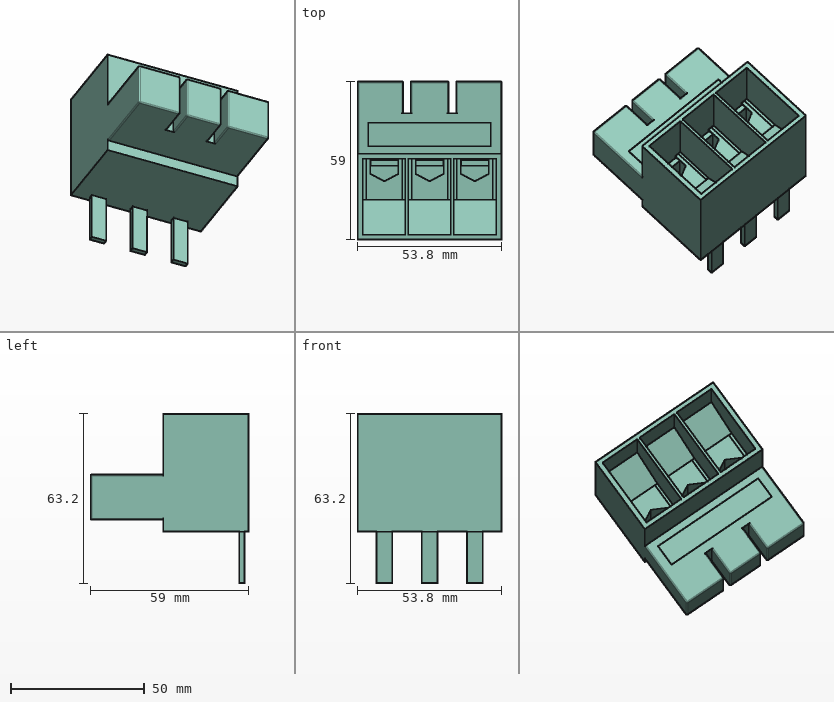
import cadquery as cq
import math

POLES = 3

WIDTH = 53.8
TOWER_DEPTH = 32.0
TOWER_HEIGHT = 44.0

SHELF_LENGTH = 27.05
SHELF_BOTTOM = 4.5
SHELF_TOP = 21.35
SLOT_WIDTH = 2.8
SLOT_LENGTH = 11.8
EDGE_ROUND = 0.5

LABEL_WIDTH = 45.75
LABEL_DEPTH = 8.8
LABEL_RECESS = 0.1
LABEL_TOWER_GAP = 2.85

SIDE_WALL = 2.0
FRONT_WALL = 1.8
BACK_WALL = 1.8
PARTITION = 1.15
POCKET_FLOOR = SHELF_TOP
RAMP_LENGTH = 13.0
RAMP_ANGLE = 21.4
pocket_width = (WIDTH - 2 * SIDE_WALL - (POLES - 1) * PARTITION) / POLES
pocket_pitch = pocket_width + PARTITION
pocket_back = TOWER_DEPTH - BACK_WALL
ramp_foot = FRONT_WALL + RAMP_LENGTH
ramp_height = RAMP_LENGTH * math.tan(math.radians(RAMP_ANGLE))

CONTACT_PITCH = 16.9

CAGE_WIDTH = 13.45
CAGE_HEIGHT = 12.65
OPENING_WIDTH = 10.5
OPENING_SHOULDER = 5.7
OPENING_TIP = 8.5
cage_depth = pocket_back - ramp_foot
cage_bottom = POCKET_FLOOR - CAGE_HEIGHT

BAR_WIDTH = 10.25
BAR_THICKNESS = 2.0
BAR_BACK_GAP = 0.65

PIN_WIDTH = 5.95
PIN_THICKNESS = 2.0
PIN_FRONT_GAP = 1.5
PIN_INSERTION = 6.3
PIN_EXPOSED = 19.2


def block(center_x, width, front_y, depth, bottom_z, height):
    """A box centred on center_x whose front bottom edge lies at front_y, bottom_z."""
    corner = (center_x - width / 2, front_y, bottom_z)
    return cq.Workplane("XY").box(width, depth, height, centered=False).translate(corner)


def row_positions(count, pitch):
    """The X positions of a row of evenly spaced features centred on x = 0."""
    return [(i - (count - 1) / 2) * pitch for i in range(count)]


def make_cage_envelope(x):
    """The block that a cage is cut from, which is also its seat in the housing."""
    return block(x, CAGE_WIDTH, ramp_foot, cage_depth, cage_bottom, CAGE_HEIGHT)


def make_cage(x):
    shoulder_y = pocket_back - OPENING_SHOULDER
    opening = (
        cq.Workplane("XY", origin=(x, 0, cage_bottom))
        .moveTo(-OPENING_WIDTH / 2, pocket_back)
        .lineTo(-OPENING_WIDTH / 2, shoulder_y)
        .lineTo(0, pocket_back - OPENING_TIP)
        .lineTo(OPENING_WIDTH / 2, shoulder_y)
        .lineTo(OPENING_WIDTH / 2, pocket_back)
        .close()
        .extrude(CAGE_HEIGHT)
    )
    return make_cage_envelope(x).cut(opening)


def make_bar(x):
    front_y = pocket_back - BAR_BACK_GAP - BAR_THICKNESS
    return block(x, BAR_WIDTH, front_y, BAR_THICKNESS, cage_bottom, CAGE_HEIGHT)


def make_pin(x):
    return block(x, PIN_WIDTH, PIN_FRONT_GAP, PIN_THICKNESS, -PIN_EXPOSED, PIN_EXPOSED + PIN_INSERTION)


def make_pocket(x):
    """The space cut out for one pocket, above its floor and ramp."""
    return (
        cq.Workplane("YZ", origin=(x - pocket_width / 2, 0, 0))
        .moveTo(FRONT_WALL, TOWER_HEIGHT)
        .lineTo(FRONT_WALL, POCKET_FLOOR + ramp_height)
        .lineTo(ramp_foot, POCKET_FLOOR)
        .lineTo(pocket_back, POCKET_FLOOR)
        .lineTo(pocket_back, TOWER_HEIGHT)
        .close()
        .extrude(pocket_width)
    )


def make_shelf():
    """The slotted shelf, with the long edges and the tips of its fingers rounded."""
    height = SHELF_TOP - SHELF_BOTTOM
    shelf = block(0, WIDTH, TOWER_DEPTH, SHELF_LENGTH, SHELF_BOTTOM, height)
    slot_front = TOWER_DEPTH + SHELF_LENGTH - SLOT_LENGTH
    for x in row_positions(POLES - 1, pocket_pitch):
        shelf = shelf.cut(block(x, SLOT_WIDTH, slot_front, SLOT_LENGTH, SHELF_BOTTOM, height))
    long_edges = shelf.edges("|Y")
    tip_edges = shelf.faces(">Y").edges()
    shelf = shelf.newObject(long_edges.vals() + tip_edges.vals()).fillet(EDGE_ROUND)
    label_front = TOWER_DEPTH + LABEL_TOWER_GAP
    label_bottom = SHELF_TOP - LABEL_RECESS
    return shelf.cut(block(0, LABEL_WIDTH, label_front, LABEL_DEPTH, label_bottom, LABEL_RECESS))


def make_housing(contact_xs):
    housing = block(0, WIDTH, 0, TOWER_DEPTH, 0, TOWER_HEIGHT).union(make_shelf())
    for x in row_positions(POLES, pocket_pitch):
        housing = housing.cut(make_pocket(x))
    for x in contact_xs:
        housing = housing.cut(make_cage_envelope(x)).cut(make_pin(x))
    return housing


contact_positions = row_positions(POLES, CONTACT_PITCH)
housing = make_housing(contact_positions)
cages = [make_cage(x).val() for x in contact_positions]
bars = [make_bar(x).val() for x in contact_positions]
pins = [make_pin(x).val() for x in contact_positions]

result = cq.Compound.makeCompound([housing.val(), *cages, *bars, *pins])